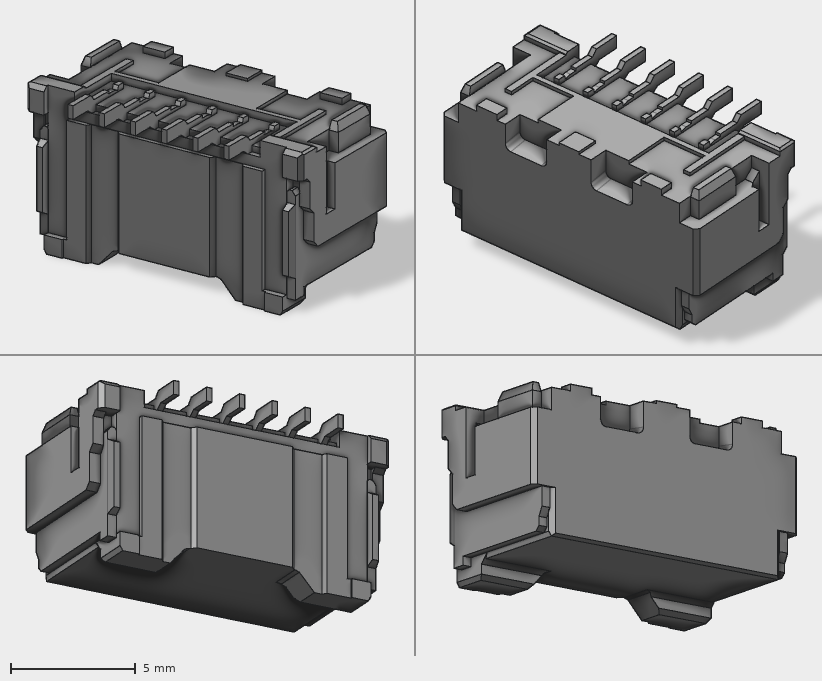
import cadquery as cq

overall_half_width = 6.65
core_half_width = 5.75
wall_half_width = 6.15
back_y = 6.33
front_face_y = 0.29
panel_y = 0.08
core_bottom_z = 0.81
core_top_z = 6.94
core_bevel_x = 0.08
raised_top_z = 7.1
pad_top_z = 7.22
overall_top_z = 7.3
ear_top_z = 6.01
corner_chamfer = 0.2

flange_back_y = 1.64
gusset_bottom_z = 0.61
gusset_back_y = 2.02
foot_inner_x = 4.87
sole_chamfer_x = 0.12
sole_chamfer_z = 0.2
arch_foot_x = 3.3
arch_shoulder_x = 2.61
arch_top_x = 2.41
arch_shoulder_z = 0.75

panel_outer_x = 4.71
groove_y = 0.27
groove_outer_x = 3.78
groove_outer_floor_x = 3.65
groove_inner_floor_x = 2.35
groove_inner_x = 2.18

recess_half_width = 4.47
recess_back_y = 2.94
recess_floor_z = 6.77
ledge_back_y = 0.57
ledge_z = 6.49

strip_back_y = 3.19
rib_outer_x = 4.8
rib_back_y = 4.52
plate_half_width = 2.35

side_pad_inner_x = 3.74
side_pad_front_y = 5.7
middle_pad_half_width = 0.52
middle_pad_front_y = 5.3
notch_inner_x = 1.16
notch_outer_x = 3.3
notch_front_y = 5.41
notch_floor_z = 5.85
notch_fillet = 0.28
notch_slope = 7.0

ear_bottom_z = 2.82
ear_shoulder_z = 4.64
ear_slope = 0.28
ear_lip_y = 0.41
ear_neck_y = 0.9
ear_inner_x = 6.16
ear_gap_back_y = 0.73
column_back_y = 1.8
slot_back_y = 2.42
slot_bottom_z = 4.0
slot_chamfer_x = 0.15
slot_chamfer_y = 0.21
ramp_top_z = 6.36
wall_front_y = 0.32
wall_back_y = 6.21
wall_bottom_z = 1.02
wall_heel_y = 6.01
wall_heel_z = 1.6
wall_heel_chamfer = 0.2
wall_flare_z = 1.98
wall_foot_back_y = 0.95
wall_foot_z = 0.65
wall_head_y = 0.61
wall_head_z = 5.39
wall_head_bevel_x = 0.16
wall_head_bevel_z = 0.2
wall_head_inner_bevel = 0.09
corner_back_y = 1.1
corner_edge_x = 0.12
corner_edge_z = 0.08

wing_outer_x = 6.2
wing_front_y = 3.34
wing_back_y = 5.64
wing_taper_x = 0.13
wing_inner_taper_x = 0.04
wing_taper_y = 0.13
wing_taper_z = 0.4

bumper_inner_x = 5.79
bumper_outer_x = 6.06
bumper_front_y = -0.05
bumper_bottom_z = 1.6
bumper_top_z = 4.81
bumper_slope_z = 0.2

pin_count = 6
pin_pitch = 1.5
pin_width = 0.25
pin_tip_y = -1.06
pin_bottom_z = 6.7
pin_ramp_front_y = 0.2
pin_ramp_back_y = 0.45
pin_saddle_front_y = 1.5
pin_saddle_back_y = 1.84
pin_crest_y = 2.0
pin_dip_y = 2.14
pin_knob_front_y = 2.21
pin_back_y = 2.57
pin_rear_top_z = 7.04
pin_saddle_z = 6.92
pin_crest_z = 6.89
pin_dip_z = 6.84
pin_embedding = 0.13


def box(x0, x1, y0, y1, z0, z1):
    return cq.Workplane("XY").box(x1 - x0, y1 - y0, z1 - z0, centered=False).translate((x0, y0, z0))


def side_profile(points, x0, x1):
    """Extrude a (Y, Z) outline from x0 to x1."""
    return cq.Workplane("YZ").workplane(offset=x0).polyline(points).close().extrude(x1 - x0)


def plan_profile(points, z0, z1):
    """Extrude an (X, Y) outline from z0 to z1."""
    return cq.Workplane("XY").workplane(offset=z0).polyline(points).close().extrude(z1 - z0)


def front_profile(points, y0, y1):
    """Extrude an (X, Z) outline from y0 to y1."""
    return cq.Workplane("XZ").workplane(offset=-y0).polyline(points).close().extrude(y0 - y1)


def both_sides(solid):
    return solid.union(solid.mirror("YZ"))


def make_core():
    core = side_profile(
        [
            (front_face_y, core_bottom_z),
            (back_y - sole_chamfer_x, core_bottom_z),
            (back_y, core_bottom_z + sole_chamfer_x),
            (back_y, core_top_z),
            (ledge_back_y, core_top_z),
            (ledge_back_y, ledge_z),
            (front_face_y, ledge_z),
        ],
        -core_half_width,
        core_half_width,
    )
    side_bevel = front_profile(
        [
            (core_half_width, core_bottom_z),
            (core_half_width - core_bevel_x, core_bottom_z),
            (core_half_width, wall_bottom_z),
        ],
        flange_back_y,
        back_y,
    )
    back_bevel = plan_profile(
        [
            (core_half_width - corner_chamfer, back_y),
            (core_half_width, back_y),
            (core_half_width, back_y - corner_chamfer),
        ],
        core_bottom_z,
        ear_bottom_z,
    )
    return core.cut(both_sides(side_bevel)).cut(both_sides(back_bevel))


def make_flange():
    flange = side_profile(
        [
            (front_face_y, 0),
            (flange_back_y - sole_chamfer_z, 0),
            (flange_back_y, sole_chamfer_z),
            (flange_back_y, gusset_bottom_z),
            (gusset_back_y, wall_bottom_z),
            (front_face_y, wall_bottom_z),
        ],
        -core_half_width,
        core_half_width,
    )
    foot = box(foot_inner_x, core_half_width, 0, front_face_y, 0, core_bottom_z)
    foot_panel = box(panel_outer_x, foot_inner_x, panel_y, front_face_y, 0, core_bottom_z)
    panel_outline = [
        (panel_outer_x, panel_y),
        (groove_outer_x, panel_y),
        (groove_outer_floor_x, groove_y),
        (groove_inner_floor_x, groove_y),
        (groove_inner_x, panel_y),
        (0, panel_y),
        (0, front_face_y),
        (panel_outer_x, front_face_y),
    ]
    panels = plan_profile(panel_outline, 0, ear_top_z)
    sole_bevel = front_profile(
        [
            (core_half_width - sole_chamfer_x, 0),
            (core_half_width, 0),
            (core_half_width, sole_chamfer_z),
        ],
        0,
        flange_back_y,
    )
    arch = front_profile(
        [
            (-arch_foot_x, 0),
            (arch_foot_x, 0),
            (arch_shoulder_x, arch_shoulder_z),
            (arch_top_x, core_bottom_z),
            (-arch_top_x, core_bottom_z),
            (-arch_shoulder_x, arch_shoulder_z),
        ],
        0,
        gusset_back_y,
    )
    flange = flange.union(both_sides(foot.union(foot_panel).union(panels)))
    return flange.cut(both_sides(sole_bevel)).cut(arch)


def make_ear():
    outer_x = overall_half_width
    ear = side_profile(
        [
            (ear_lip_y, ear_top_z),
            (wall_head_y, ear_top_z - corner_chamfer),
            (wall_head_y, ear_shoulder_z),
            (ear_neck_y, ear_shoulder_z - ear_slope),
            (ear_neck_y, ear_bottom_z + ear_slope),
            (ear_neck_y + ear_slope, ear_bottom_z),
            (back_y, ear_bottom_z),
            (back_y, ear_top_z),
            (column_back_y, ear_top_z),
            (column_back_y, core_top_z),
            (ear_lip_y, core_top_z),
        ],
        core_half_width,
        outer_x,
    )
    back_bevel = plan_profile(
        [
            (outer_x - corner_chamfer, back_y),
            (outer_x, back_y),
            (outer_x, back_y - corner_chamfer),
        ],
        ear_bottom_z,
        ear_top_z,
    )
    slot = plan_profile(
        [
            (outer_x, column_back_y),
            (wall_half_width, column_back_y),
            (wall_half_width, slot_back_y - slot_chamfer_y),
            (wall_half_width + slot_chamfer_x, slot_back_y),
            (outer_x, slot_back_y),
        ],
        slot_bottom_z,
        ear_top_z,
    )
    ramp = side_profile(
        [
            (column_back_y, ear_top_z),
            (slot_back_y - slot_chamfer_y, ear_top_z),
            (column_back_y, ramp_top_z),
        ],
        core_half_width,
        wall_half_width,
    )
    front_gap = box(core_half_width, ear_inner_x, front_face_y, ear_gap_back_y, ear_bottom_z, ear_top_z)
    return ear.cut(back_bevel).cut(slot).cut(front_gap).union(ramp)


def make_corner_block():
    block = box(core_half_width, overall_half_width, 0, corner_back_y, ear_top_z, pad_top_z)
    block = block.edges("|Z and >X and <Y").chamfer(corner_chamfer)
    block = block.edges("<Y and >Z").chamfer(corner_chamfer)
    inner = box(recess_half_width, core_half_width, front_face_y, corner_back_y, ledge_z, pad_top_z)
    block = block.union(inner)
    edge_cut_back = side_profile(
        [
            (corner_back_y, pad_top_z - corner_edge_z),
            (corner_back_y, pad_top_z),
            (corner_back_y - corner_edge_x, pad_top_z),
        ],
        recess_half_width,
        overall_half_width,
    )
    edge_cut_side = front_profile(
        [
            (overall_half_width, pad_top_z - corner_edge_z),
            (overall_half_width, pad_top_z),
            (overall_half_width - corner_edge_x, pad_top_z),
        ],
        0,
        corner_back_y,
    )
    return block.cut(edge_cut_back).cut(edge_cut_side)


def make_side_wall():
    wall = side_profile(
        [
            (wall_front_y, wall_foot_z),
            (wall_foot_back_y, wall_foot_z),
            (wall_foot_back_y, wall_bottom_z),
            (wall_heel_y - wall_heel_chamfer, wall_bottom_z),
            (wall_heel_y, wall_bottom_z + wall_heel_chamfer),
            (wall_heel_y, wall_heel_z),
            (wall_back_y, wall_flare_z),
            (wall_back_y, ear_bottom_z),
            (ear_neck_y + ear_slope, ear_bottom_z),
            (ear_neck_y + ear_slope, wall_head_z),
            (wall_front_y, wall_head_z),
        ],
        core_half_width,
        wall_half_width,
    )
    head_bevel = front_profile(
        [
            (wall_half_width - wall_head_bevel_x, wall_head_z),
            (wall_half_width, wall_head_z),
            (wall_half_width, wall_head_z - wall_head_bevel_z),
        ],
        wall_front_y,
        ear_gap_back_y,
    )
    inner_bevel = front_profile(
        [
            (core_half_width, wall_head_z - wall_head_inner_bevel),
            (core_half_width, wall_head_z),
            (core_half_width + wall_head_inner_bevel, wall_head_z),
        ],
        wall_front_y,
        ear_gap_back_y,
    )
    return wall.cut(head_bevel).cut(inner_bevel).union(make_bumper())


def make_bumper():
    """Pad that narrows on all four sides towards its front face."""
    height = bumper_top_z - bumper_bottom_z
    middle_z = (bumper_top_z + bumper_bottom_z) / 2
    middle_x = (bumper_inner_x + bumper_outer_x) / 2
    base_middle_x = (core_half_width + wall_half_width) / 2
    base = cq.Workplane("XZ", origin=(base_middle_x, wall_front_y, middle_z))
    return (
        base.rect(wall_half_width - core_half_width, height)
        .workplane(offset=wall_front_y - bumper_front_y)
        .center(middle_x - base_middle_x, 0)
        .rect(bumper_outer_x - bumper_inner_x, height - 2 * bumper_slope_z)
        .loft(ruled=True)
    )


def make_wing():
    """Upright tab whose top end narrows on all four sides."""
    width = wing_outer_x - core_half_width
    length = wing_back_y - wing_front_y
    taper_bottom_z = overall_top_z - wing_taper_z
    tip_width = width - wing_taper_x - wing_inner_taper_x
    tip_shift = (wing_inner_taper_x - wing_taper_x) / 2
    stem = box(core_half_width, wing_outer_x, wing_front_y, wing_back_y, ear_top_z, taper_bottom_z)
    tip = (
        cq.Workplane("XY", origin=(core_half_width + width / 2, wing_front_y + length / 2, taper_bottom_z))
        .rect(width, length)
        .workplane(offset=wing_taper_z)
        .center(tip_shift, 0)
        .rect(tip_width, length - 2 * wing_taper_y)
        .loft(ruled=True)
    )
    return stem.union(tip)


def make_top_plate():
    plate = box(-recess_half_width, recess_half_width, recess_back_y, strip_back_y, core_top_z, raised_top_z)
    plate = plate.union(
        box(-plate_half_width, plate_half_width, recess_back_y, back_y, core_top_z, raised_top_z)
    )
    rib = box(recess_half_width, rib_outer_x, corner_back_y, rib_back_y, core_top_z, raised_top_z)
    side_pad = box(side_pad_inner_x, rib_outer_x, side_pad_front_y, back_y, core_top_z, pad_top_z)
    middle_pad = box(
        -middle_pad_half_width, middle_pad_half_width, middle_pad_front_y, back_y, core_top_z, pad_top_z
    )
    return plate.union(both_sides(rib.union(side_pad))).union(middle_pad)


def make_recess():
    return box(
        -recess_half_width, recess_half_width, front_face_y, recess_back_y, recess_floor_z, pad_top_z
    )


def make_notch():
    """Trough with rounded floor corners and a floor that falls towards the back."""
    depth = 2 * (pad_top_z - notch_floor_z)
    trough = box(notch_inner_x, notch_outer_x, 0, 2 * back_y, notch_floor_z, notch_floor_z + depth)
    trough = trough.edges("|Y and <Z").fillet(notch_fillet)
    hinge = (0, notch_front_y, notch_floor_z)
    trough = trough.rotate(hinge, (1, notch_front_y, notch_floor_z), -notch_slope)
    return trough.intersect(box(notch_inner_x, notch_outer_x, notch_front_y, back_y, 0, pad_top_z))


def make_pin(centre_x):
    root_z = recess_floor_z - pin_embedding
    outline = (
        cq.Workplane("YZ")
        .workplane(offset=centre_x - pin_width / 2)
        .moveTo(pin_tip_y, pin_bottom_z)
        .lineTo(0, pin_bottom_z)
        .lineTo(front_face_y, ledge_z)
        .lineTo(ledge_back_y, ledge_z)
        .lineTo(ledge_back_y, root_z)
        .lineTo(pin_back_y, root_z)
        .lineTo(pin_back_y, pin_rear_top_z)
        .lineTo(pin_knob_front_y, pin_rear_top_z)
        .lineTo(pin_dip_y, pin_dip_z)
        .threePointArc((pin_crest_y, pin_crest_z), (pin_saddle_back_y, pin_saddle_z))
        .lineTo(pin_saddle_front_y, pin_saddle_z)
        .lineTo(pin_saddle_front_y, pin_rear_top_z)
        .lineTo(pin_ramp_back_y, pin_rear_top_z)
        .lineTo(pin_ramp_front_y, overall_top_z)
        .lineTo(pin_tip_y, overall_top_z)
        .close()
    )
    return outline.extrude(pin_width)


result = make_core().union(make_flange())
side_parts = make_ear().union(make_corner_block()).union(make_side_wall()).union(make_wing())
result = result.union(both_sides(side_parts)).union(make_top_plate())
result = result.cut(make_recess()).cut(both_sides(make_notch()))
for i in range(pin_count):
    result = result.union(make_pin((i - (pin_count - 1) / 2) * pin_pitch))